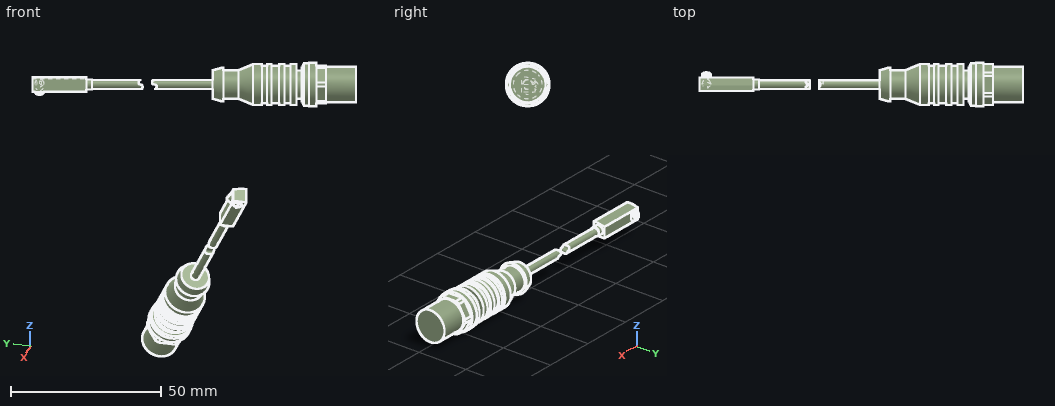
import cadquery as cq
import math


cable_diameter = 3.0
cable_radius = cable_diameter / 2

block_length = 18.0
block_front_y = -2.2
block_back_y = 2.4
block_half_height = 2.5
slope_start_y = -0.4
slope_end_z = 1.8
collar_diameter = 3.5
collar_length = 1.9

screw_diameter = 3.0
screw_tip_diameter = 0.9
screw_shank_length = 4.4
screw_cone_length = 0.9
screw_x = 2.4
screw_head_y = 3.1
screw_head_z = 0.5
screw_tilt = 40.0
socket_width = 1.5
socket_depth = 1.3

sensor_break = dict(top=36.2, upper_bulge=35.4, middle=36.1, lower_bulge=36.8, bottom=36.3)
connector_break = dict(top=40.6, upper_bulge=39.8, middle=40.6, lower_bulge=41.4, bottom=40.4)

connector_start = 60.0
flare_end = 63.2
flare_rim_end = 63.6
neck_end = 68.6
grip_start = 73.5
grip_end = 88.0
grip_grooves = [(76.4, 78.2), (79.7, 82.1), (84.0, 85.9)]
washer_start = 89.6
washer_end = 90.0
nut_start = 90.4
ring_start = 92.1
ring_end = 94.5
hex_end = 97.8
connector_end = 107.8

flare_diameter = 11.4
neck_diameter = 9.6
rear_neck_diameter = 9.5
grip_diameter = 13.7
groove_diameter = 12.6
washer_diameter = 11.4
nut_shoulder_diameter = 12.4
nut_diameter = 14.2
hex_corner_diameter = 13.7
ring_diameter = 14.5
hex_width = 12.5
hex_turn = 30.0
sleeve_diameter = 12.0


def cylinder_x(start, end, diameter):
    """Cylinder along the X axis."""
    return cq.Workplane("YZ", origin=(start, 0, 0)).circle(diameter / 2).extrude(end - start)


def frustum_x(start, end, start_diameter, end_diameter):
    """Truncated cone along the X axis."""
    outline = [
        (start, 0),
        (start, start_diameter / 2),
        (end, end_diameter / 2),
        (end, 0),
    ]
    return cq.Workplane("XY").polyline(outline).close().revolve(360, (0, 0, 0), (1, 0, 0))


def broken_cable(cut, far_end):
    """Cable from its S-shaped break to a flat far end on either side of the break."""
    quarter = cable_radius / 2
    outline = (
        cq.Workplane("XZ", origin=(0, cable_radius, 0))
        .moveTo(far_end, cable_radius)
        .lineTo(cut["top"], cable_radius)
        .threePointArc((cut["upper_bulge"], quarter), (cut["middle"], 0))
        .threePointArc((cut["lower_bulge"], -quarter), (cut["bottom"], -cable_radius))
        .lineTo(far_end, -cable_radius)
        .close()
        .extrude(cable_diameter)
    )
    start = min(*cut.values(), far_end)
    end = max(*cut.values(), far_end)
    return cylinder_x(start, end, cable_diameter).intersect(outline)


def sensor_block():
    outline = [
        (block_front_y, -block_half_height),
        (block_back_y, -block_half_height),
        (block_back_y, slope_end_z),
        (slope_start_y, block_half_height),
        (block_front_y, block_half_height),
    ]
    return cq.Workplane("YZ").polyline(outline).close().extrude(block_length)


def set_screw():
    """Cone-tipped screw whose head faces +Y and +Z, with a hexagon socket in the head."""
    tilt = math.radians(screw_tilt)
    head_plane = cq.Plane(
        origin=(screw_x, screw_head_y, screw_head_z),
        xDir=(1, 0, 0),
        normal=(0, -math.cos(tilt), -math.sin(tilt)),
    )
    outline = [
        (0, 0),
        (screw_diameter / 2, 0),
        (screw_diameter / 2, screw_shank_length),
        (screw_tip_diameter / 2, screw_shank_length + screw_cone_length),
        (0, screw_shank_length + screw_cone_length),
    ]
    section_normal = head_plane.xDir.cross(head_plane.zDir)
    screw_section = cq.Plane(head_plane.origin, xDir=(1, 0, 0), normal=section_normal)
    screw = cq.Workplane(screw_section).polyline(outline).close().revolve(360, (0, 0, 0), (0, 1, 0))
    socket = cq.Workplane(head_plane).polygon(6, socket_width, circumscribed=True).extrude(socket_depth)
    return screw, socket


def make_sensor():
    screw, socket = set_screw()
    collar = cylinder_x(block_length, block_length + collar_length, collar_diameter)
    cable = broken_cable(sensor_break, block_length)
    return sensor_block().union(screw).cut(socket).union(collar).union(cable)


def grip():
    """Flared cable entry, neck, cone and grooved barrel."""
    body = (
        frustum_x(connector_start, flare_end, neck_diameter, flare_diameter)
        .union(cylinder_x(flare_end, flare_rim_end, flare_diameter))
        .union(cylinder_x(flare_rim_end, neck_end, neck_diameter))
        .union(frustum_x(neck_end, grip_start, neck_diameter, grip_diameter))
        .union(cylinder_x(grip_start, grip_end, grip_diameter))
    )
    for start, end in grip_grooves:
        groove = cylinder_x(start, end, ring_diameter).cut(cylinder_x(start, end, groove_diameter))
        body = body.cut(groove)
    return body


def hex_section():
    """Nut end cut to a hexagon whose corners stay round; two flats face +Z and -Z."""
    length = hex_end - ring_end
    hexagon = (
        cq.Workplane("YZ", origin=(ring_end, 0, 0))
        .polygon(6, hex_width, circumscribed=True)
        .extrude(length)
        .rotate((0, 0, 0), (1, 0, 0), hex_turn)
    )
    return cylinder_x(ring_end, hex_end, hex_corner_diameter).intersect(hexagon)


def coupling_nut():
    return (
        cylinder_x(washer_start, washer_end, washer_diameter)
        .union(frustum_x(washer_end, nut_start, nut_shoulder_diameter, nut_diameter))
        .union(cylinder_x(nut_start, ring_start, nut_diameter))
        .union(cylinder_x(ring_start, ring_end, ring_diameter))
        .union(hex_section())
    )


def make_connector():
    rear_neck = cylinder_x(grip_end, washer_start, rear_neck_diameter)
    sleeve = cylinder_x(hex_end, connector_end, sleeve_diameter)
    cable = broken_cable(connector_break, connector_start)
    return grip().union(rear_neck).union(coupling_nut()).union(sleeve).union(cable)


sensor = make_sensor()
connector = make_connector()
result = cq.Compound.makeCompound([sensor.val(), connector.val()])